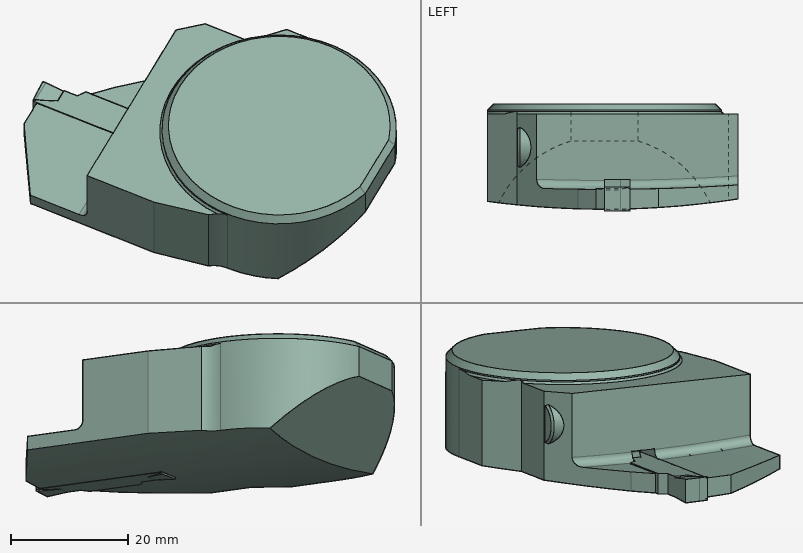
import cadquery as cq
import math


disc_x = 44.95
disc_radius = 20.0
disc_chamfer = 1.1
total_height = 18.35
total_length = 64.1
collar_top = 17.0
collar_flare = 0.4

block_top = collar_top - collar_flare
floor_z = 0.3
floor_radius = 148.7
plate_top = 3.7
plate_top_radius = 339.7
wall_x = 19.6
step_fillet = 1.55
front_y = -22.8
shoulder_y = 14.95
ramp_start_z = 12.0
nose_x = 0.95
nose_y = -9.2
front_start_x = 8.85
front_end_x = 32.4
back_x = 36.55
shoulder_end_x = 31.7
shoulder_start_x = 23.5
kink_x = 11.5
kink_y = 4.55
plate_corner_x = 8.35
blend_radius = 4.8
blend_angle = 40.0

screw_x = 24.55
screw_z = 10.9
screw_radius = 3.8
screw_end_y = 14.8
screw_depth = 6.4
screw_chamfer = 0.4

insert_length = 25.0
insert_mid = insert_length / 2
insert_front_y = -4.35
insert_crown_y = 1.4
crown_half = 5.0
crown_base_half = 5.95
insert_top = 3.9
land_top = 4.1
land_width = 0.6
breaker_end = 4.0
breaker_floor = 3.65
breaker_front_y = -4.0
breaker_end_y = -2.45
facet_y = -2.75
facet_x = 0.1
end_relief = 0.25
slot_top = 5.4

span = 76.9


def crowned_tool(lowest_z, radius, x_end):
    """Block above an arc hanging in the YZ plane, from left of the part up to x_end."""
    half = span / 2
    edge_z = lowest_z + radius - math.sqrt(radius**2 - half**2)
    return (
        cq.Workplane("YZ", origin=(x_end - span, 0, 0))
        .moveTo(-half, edge_z)
        .threePointArc((0, lowest_z), (half, edge_z))
        .lineTo(half, span)
        .lineTo(-half, span)
        .close()
        .extrude(span)
    )


def holder_prism(bottom, top):
    """Vertical prism with the outline of the holder."""
    angle = math.radians(blend_angle)
    blend_center_y = -disc_radius - blend_radius
    blend_start = (
        disc_x - blend_radius * math.sin(angle),
        blend_center_y + blend_radius * math.cos(angle),
    )
    blend_middle = (
        disc_x - blend_radius * math.sin(angle / 2),
        blend_center_y + blend_radius * math.cos(angle / 2),
    )
    return (
        cq.Workplane("XY", origin=(0, 0, bottom))
        .moveTo(nose_x, insert_front_y)
        .lineTo(nose_x, nose_y)
        .lineTo(front_start_x, front_y)
        .lineTo(front_end_x, front_y)
        .lineTo(*blend_start)
        .threePointArc(blend_middle, (disc_x, -disc_radius))
        .threePointArc((disc_x + disc_radius, 0), (disc_x, disc_radius))
        .lineTo(back_x, disc_radius)
        .lineTo(shoulder_end_x, shoulder_y)
        .lineTo(shoulder_start_x, shoulder_y)
        .lineTo(kink_x, kink_y)
        .lineTo(plate_corner_x, insert_crown_y)
        .lineTo(plate_corner_x, insert_front_y)
        .close()
        .extrude(top - bottom)
    )


def disc():
    """Short cylinder with a chamfered top."""
    return (
        cq.Workplane("XY", origin=(disc_x, 0, collar_top))
        .circle(disc_radius)
        .extrude(total_height - collar_top)
        .faces(">Z")
        .chamfer(disc_chamfer)
    )


def collar():
    """Cone flaring down from the disc, kept inside the holder outline."""
    cone = (
        cq.Workplane("XY", origin=(disc_x, 0, block_top))
        .circle(disc_radius + collar_flare)
        .workplane(offset=collar_flare)
        .circle(disc_radius)
        .loft()
    )
    return cone.intersect(holder_prism(block_top, collar_top))


def right_end_trim():
    """Tool for the vertical flat, its top chamfer and the 45 degree ramp below."""
    return (
        cq.Workplane("XZ")
        .moveTo(total_length - ramp_start_z, 0)
        .lineTo(total_length, ramp_start_z)
        .lineTo(total_length, total_height - disc_chamfer)
        .lineTo(total_length - disc_chamfer, total_height)
        .lineTo(span, total_height)
        .lineTo(span, 0)
        .close()
        .extrude(span / 2, both=True)
    )


def screw_head():
    return (
        cq.Workplane("XZ", origin=(screw_x, screw_end_y, screw_z))
        .circle(screw_radius)
        .extrude(screw_depth)
        .faces(">Y")
        .chamfer(screw_chamfer)
    )


def insert_prism(bottom, top):
    """Prism with the insert outline, which is the same at both ends."""
    far = insert_length
    return (
        cq.Workplane("XY", origin=(0, 0, bottom))
        .polyline([
            (0, 0),
            (facet_x, facet_y),
            (end_relief, insert_front_y),
            (far - end_relief, insert_front_y),
            (far - facet_x, facet_y),
            (far, 0),
            (insert_mid + crown_base_half, 0),
            (insert_mid + crown_half, insert_crown_y),
            (insert_mid - crown_half, insert_crown_y),
            (insert_mid - crown_base_half, 0),
        ])
        .close()
        .extrude(top - bottom)
    )


def cutting_end():
    """Left cutting end: raised land, chip breaker slope and lowered pad."""
    breaker = (
        cq.Workplane("XY")
        .polyline([
            (0, 0),
            (facet_x, facet_y),
            (end_relief, insert_front_y),
            (land_width, breaker_front_y),
            (breaker_end, breaker_end_y),
            (breaker_end, 0),
        ])
        .close()
        .extrude(land_top)
    )
    profile = (
        cq.Workplane("XZ")
        .polyline([
            (0, 0),
            (breaker_end, floor_z),
            (breaker_end, breaker_floor),
            (land_width, land_top),
            (0, land_top),
        ])
        .close()
        .extrude(-insert_front_y)
    )
    return breaker, breaker.intersect(profile)


def make_insert():
    insert = insert_prism(floor_z, insert_top)
    breaker, left_end = cutting_end()
    middle = (insert_mid, 0, 0)
    insert = insert.cut(breaker).cut(breaker.mirror("YZ", middle))
    return insert.union(left_end).union(left_end.mirror("YZ", middle))


def make_holder():
    trim = right_end_trim()
    block = holder_prism(0, block_top).cut(trim)
    block = block.intersect(crowned_tool(floor_z, floor_radius, span))

    step = crowned_tool(plate_top, plate_top_radius, wall_x)
    step = step.faces(">X").edges("%CIRCLE").fillet(step_fillet)
    block = block.cut(step).union(screw_head())
    holder = block.union(collar().cut(trim)).union(disc().cut(trim))

    return holder.cut(insert_prism(0, slot_top))


holder = make_holder()
insert = make_insert()
result = cq.Compound.makeCompound([holder.solids().val(), insert.solids().val()])